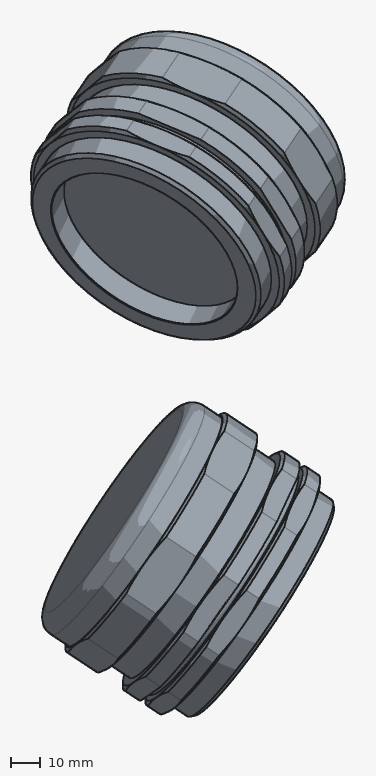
import cadquery as cq
import math


TOTAL_LENGTH = 61.09
WRENCH_WIDTH = 94.0
CORNER_DIAMETER = 97.0

BARREL_DIAMETER = 88.0
BARREL_CHAMFER = 1.25
RECESS_DIAMETER = 71.0
RECESS_DEPTH = 9.0
RECESS_EDGE_CHAMFER = 0.25
RECESS_EDGE_ANGLE = 45.0

LOCKNUT_START = 8.75
LOCKNUT_THICKNESS = 7.0
SEAL_GAP = 2.25
COLLAR_THICKNESS = 7.0
NECK_LENGTH = 9.5
CAP_HEX_THICKNESS = 14.0

SEAL_CENTRE_DIAMETER = BARREL_DIAMETER
SEAL_SECTION_DIAMETER = 3.0

CAP_DIAMETER = 93.0
CAP_FILLET = 5.5

FLATS_UP_ANGLE = 30.0

HEX_CHAMFER_ANGLE = 30.0
hex_chamfer_width = (CORNER_DIAMETER - WRENCH_WIDTH) / 2
hex_chamfer_depth = hex_chamfer_width * math.tan(math.radians(HEX_CHAMFER_ANGLE))

seal_start = LOCKNUT_START + LOCKNUT_THICKNESS
collar_start = seal_start + SEAL_GAP
neck_start = collar_start + COLLAR_THICKNESS
cap_hex_start = neck_start + NECK_LENGTH
cap_start = cap_hex_start + CAP_HEX_THICKNESS


def plane_at(y):
    """Plane across the axis at y, facing +Y."""
    return cq.Workplane(cq.Plane(origin=(0, y, 0), xDir=(1, 0, 0), normal=(0, 1, 0)))


def cylinder(start, length, diameter):
    return plane_at(start).circle(diameter / 2).extrude(length)


def hex_ring(start, thickness, chamfered_faces):
    """Hexagon with flats at +Z and -Z, its corners turned round and chamfered on the given faces."""
    turned = cylinder(start, thickness, CORNER_DIAMETER)
    for face in chamfered_faces:
        turned = turned.faces(face).chamfer(hex_chamfer_depth, hex_chamfer_width)
    hexagon = plane_at(start).polygon(6, WRENCH_WIDTH, circumscribed=True).extrude(thickness)
    hexagon = hexagon.rotate((0, 0, 0), (0, 1, 0), FLATS_UP_ANGLE)
    return turned.intersect(hexagon)


def make_barrel():
    barrel = cylinder(0, cap_start, BARREL_DIAMETER)
    return barrel.faces("<Y").chamfer(BARREL_CHAMFER)


def make_seal():
    """O-ring whose rim shows in the gap before the collar, which it enters slightly."""
    centre_radius = SEAL_CENTRE_DIAMETER / 2
    section_radius = SEAL_SECTION_DIAMETER / 2
    section_plane = cq.Workplane("XY").center(-centre_radius, seal_start + section_radius)
    section = section_plane.circle(section_radius)
    return section.revolve(360, (centre_radius, 0), (centre_radius, 1))


def make_cap():
    cap = cylinder(cap_start, TOTAL_LENGTH - cap_start, CAP_DIAMETER)
    return cap.faces(">Y").edges().fillet(CAP_FILLET)


def make_recess():
    """Blind round recess with a small chamfer at its mouth."""
    recess = cylinder(0, RECESS_DEPTH, RECESS_DIAMETER)
    rim_radius = RECESS_DIAMETER / 2 + RECESS_EDGE_CHAMFER
    rim = plane_at(0).circle(rim_radius).extrude(RECESS_EDGE_CHAMFER, taper=RECESS_EDGE_ANGLE)
    return recess.union(rim)


result = (
    make_barrel()
    .union(hex_ring(LOCKNUT_START, LOCKNUT_THICKNESS, ["<Y", ">Y"]))
    .union(make_seal())
    .union(hex_ring(collar_start, COLLAR_THICKNESS, [">Y"]))
    .union(hex_ring(cap_hex_start, CAP_HEX_THICKNESS, ["<Y", ">Y"]))
    .union(make_cap())
    .cut(make_recess())
)